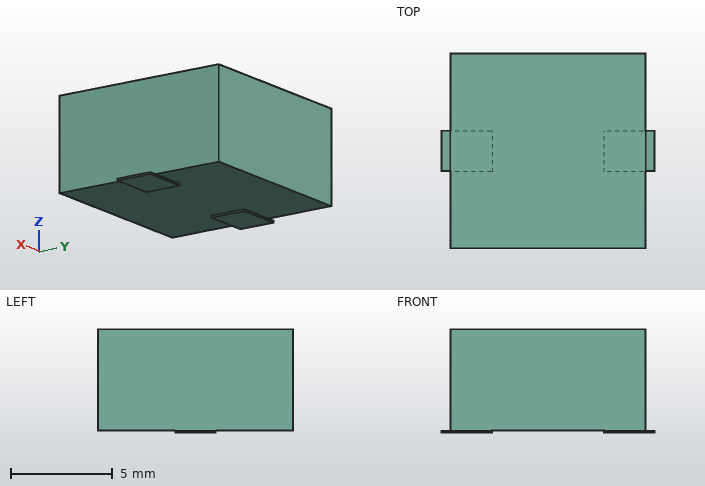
import cadquery as cq

housing_side = 9.6
housing_height = 5.0

terminal_span = 10.5
terminal_length = 2.5
terminal_width = 2.0
terminal_thickness = 0.1


def make_housing():
    """Block resting on top of the terminals."""
    return (
        cq.Workplane("XY")
        .workplane(offset=terminal_thickness)
        .rect(housing_side, housing_side)
        .extrude(housing_height)
    )


def make_terminal(side):
    """Flat terminal strip; side is -1 for the -X end and +1 for the +X end."""
    center_x = side * (terminal_span - terminal_length) / 2
    return (
        cq.Workplane("XY")
        .center(center_x, 0)
        .rect(terminal_length, terminal_width)
        .extrude(terminal_thickness)
    )


housing = make_housing()
terminals = [make_terminal(side) for side in (-1, 1)]

result = cq.Compound.makeCompound(
    [housing.val(), *[terminal.val() for terminal in terminals]]
)